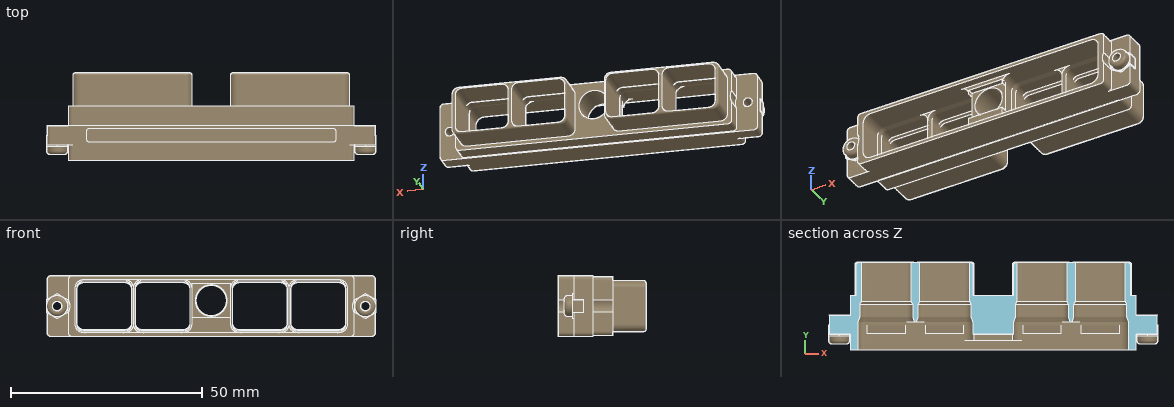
import cadquery as cq
import math


FLANGE_FRONT = 4.1
FLANGE_BACK = 9.1
BODY_BACK = 14.3
TOTAL_DEPTH = 23.0

TOTAL_LENGTH = 86.0
HEIGHT = 15.9
NUT_PROUD = 0.2
FLANGE_LENGTH = TOTAL_LENGTH - 2 * NUT_PROUD
BODY_LENGTH = 74.5
REAR_HEIGHT = 15.4
SHELL_RADIUS = 1.0

SLEEVE_INNER_X = 5.0
SLEEVE_OUTER_X = 36.1
SLEEVE_HEIGHT = 13.4
SLEEVE_RADIUS = 1.9
SLEEVE_END_RADIUS = 0.8

WALL = 1.0
MOUTH_LENGTH = 71.0
MOUTH_HEIGHT = HEIGHT - 2 * WALL
MOUTH_DEPTH = 2.5
MOUTH_RADIUS = 2.2
CAVITY_INNER_X = 5.1
CAVITY_OUTER_X = MOUTH_LENGTH / 2
CAVITY_DEPTH = 7.3

CAVITY_CENTER_X = (CAVITY_INNER_X + CAVITY_OUTER_X) / 2
COMPARTMENT_PITCH = (CAVITY_OUTER_X - CAVITY_INNER_X) / 2
COMPARTMENT_XS = [
    side * (CAVITY_CENTER_X + step * COMPARTMENT_PITCH / 2)
    for side in (-1, 1)
    for step in (-1, 1)
]
WINDOW_WIDTH = 14.3
WINDOW_RADIUS = 1.7
FRONT_WINDOW_HEIGHT = 13.1
BACK_WINDOW_HEIGHT = 12.2
LEAD_IN_DEPTH = 1.3
STEP_Y = 11.9
STEP_DEPTH = 0.8

LATCH_LENGTH = 10.0
LATCH_FRONT = 4.3
LATCH_BACK = 6.4
LATCH_DEPTH = 0.3

WEB_FACE = 4.1
LEDGE_Z = -3.0
LINTEL_Z = 5.85
CENTER_HOLE_Z = 1.5
CENTER_HOLE_FRONT_RADIUS = 4.1
CENTER_HOLE_BACK_RADIUS = 3.95

LABEL_FRONT = 4.9
LABEL_BACK = 8.3
LABEL_LENGTH = 65.0
LABEL_RADIUS = 0.6
LABEL_DEPTH = 0.2

NUT_FLATS = 5.6
FASTENER_X = (TOTAL_LENGTH - NUT_FLATS) / 2
NUT_FRONT = 3.7
NUT_BACK = 6.5
COLLAR_FRONT = 1.55
COLLAR_RADIUS = 2.75
COLLAR_ROUNDING = 0.95
BORE_RADIUS = 1.2
RELIEF_RADIUS = 3.35


def section(y, x=0.0, z=0.0):
    """Workplane across the housing at depth y, extruding toward the back."""
    return cq.Workplane("XZ", origin=(x, y, z)).transformed(rotate=(180, 0, 0))


def block(length, height, start, end, x=0.0, z=0.0):
    return section(start, x, z).rect(length, height).extrude(end - start)


def rounded_block(length, height, radius, start, end, x=0.0):
    return block(length, height, start, end, x).edges("|Y").fillet(radius)


def cylinder(radius, start, end, x=0.0, z=0.0):
    return section(start, x, z).circle(radius).extrude(end - start)


def make_shell():
    front = rounded_block(BODY_LENGTH, HEIGHT, SHELL_RADIUS, 0, FLANGE_BACK)
    rear = rounded_block(BODY_LENGTH, REAR_HEIGHT, SHELL_RADIUS, 0, BODY_BACK)
    body = front.union(rear)
    for side in (-1, 1):
        body = body.cut(cylinder(RELIEF_RADIUS, 0, BODY_BACK, side * FASTENER_X))
    flange = rounded_block(FLANGE_LENGTH, HEIGHT, SHELL_RADIUS, FLANGE_FRONT, FLANGE_BACK)
    return body.union(flange)


def make_sleeve(side):
    center = side * (SLEEVE_INNER_X + SLEEVE_OUTER_X) / 2
    sleeve = rounded_block(
        SLEEVE_OUTER_X - SLEEVE_INNER_X, SLEEVE_HEIGHT, SLEEVE_RADIUS,
        FLANGE_BACK, TOTAL_DEPTH, center,
    )
    return sleeve.faces(">Y").edges().fillet(SLEEVE_END_RADIUS)


def make_cavity(side):
    return rounded_block(
        CAVITY_OUTER_X - CAVITY_INNER_X, MOUTH_HEIGHT, MOUTH_RADIUS,
        0, CAVITY_DEPTH, side * CAVITY_CENTER_X,
    )


def rounded_sketch(length, height, radius):
    return cq.Sketch().rect(length, height).vertices().fillet(radius)


def make_taper(wide, narrow, start, depth, x):
    """Loft from the wide sketch at depth y = start to the narrow one behind it."""
    far_end = narrow.moved(cq.Location(cq.Vector(0, 0, depth)))
    return section(start, x).placeSketch(wide, far_end).loft()


def make_compartment(x):
    mouth = rounded_sketch(COMPARTMENT_PITCH, MOUTH_HEIGHT, MOUTH_RADIUS)
    front = rounded_sketch(WINDOW_WIDTH, FRONT_WINDOW_HEIGHT, WINDOW_RADIUS)
    back = rounded_sketch(WINDOW_WIDTH, BACK_WINDOW_HEIGHT, WINDOW_RADIUS)
    front_start = CAVITY_DEPTH + LEAD_IN_DEPTH
    back_start = STEP_Y + STEP_DEPTH
    return (
        make_taper(mouth, front, CAVITY_DEPTH, LEAD_IN_DEPTH, x)
        .union(section(front_start, x).placeSketch(front).extrude(STEP_Y - front_start))
        .union(make_taper(front, back, STEP_Y, STEP_DEPTH, x))
        .union(section(back_start, x).placeSketch(back).extrude(TOTAL_DEPTH - back_start))
    )


def make_latch_recess(x):
    floor = -MOUTH_HEIGHT / 2
    return (
        cq.Workplane("YZ", origin=(x, 0, 0))
        .moveTo(LATCH_FRONT, floor)
        .lineTo(LATCH_FRONT, floor - LATCH_DEPTH)
        .lineTo(LATCH_BACK, floor)
        .close()
        .extrude(LATCH_LENGTH / 2, both=True)
    )


def make_web_recess():
    """Pocket in front of the web face, between the ledge and the lintel."""
    height = LINTEL_Z - LEDGE_Z
    return block(2 * CAVITY_INNER_X, height, 0, WEB_FACE, z=(LINTEL_Z + LEDGE_Z) / 2)


def make_center_hole():
    return (
        section(0, 0, CENTER_HOLE_Z)
        .workplane(offset=WEB_FACE)
        .circle(CENTER_HOLE_FRONT_RADIUS)
        .workplane(offset=BODY_BACK - WEB_FACE)
        .circle(CENTER_HOLE_BACK_RADIUS)
        .loft()
    )


def make_label_recess():
    return (
        cq.Workplane("XY", origin=(0, (LABEL_FRONT + LABEL_BACK) / 2, HEIGHT / 2 - LABEL_DEPTH))
        .rect(LABEL_LENGTH, LABEL_BACK - LABEL_FRONT)
        .extrude(2 * LABEL_DEPTH)
        .edges("|Z")
        .fillet(LABEL_RADIUS)
    )


def make_fastener(x):
    across_corners = NUT_FLATS / math.cos(math.radians(30))
    nut = (
        section(NUT_FRONT, x)
        .transformed(rotate=(0, 0, 90))
        .polygon(6, across_corners)
        .extrude(NUT_BACK - NUT_FRONT)
    )
    collar = cylinder(COLLAR_RADIUS, COLLAR_FRONT, FLANGE_FRONT, x)
    return nut.union(collar.faces("<Y").edges().fillet(COLLAR_ROUNDING))


result = make_shell()
for side in (-1, 1):
    result = result.union(make_sleeve(side))

result = result.cut(rounded_block(MOUTH_LENGTH, MOUTH_HEIGHT, MOUTH_RADIUS, 0, MOUTH_DEPTH))
for side in (-1, 1):
    result = result.cut(make_cavity(side))
for x in COMPARTMENT_XS:
    result = result.cut(make_compartment(x)).cut(make_latch_recess(x))

result = result.cut(make_web_recess()).cut(make_center_hole()).cut(make_label_recess())

for side in (-1, 1):
    fastener_x = side * FASTENER_X
    result = result.union(make_fastener(fastener_x))
    result = result.cut(cylinder(BORE_RADIUS, 0, FLANGE_BACK, fastener_x))